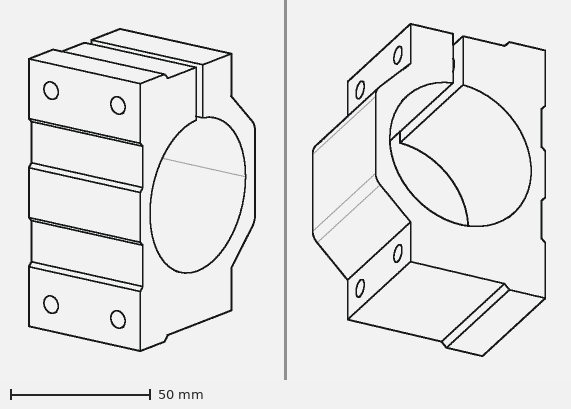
import cadquery as cq
length = 50.0
height = 100.0
depth = 68.0

front_y = -depth / 2
foot_depth = 14.4
foot_step = 2.0
groove_depth = 1.5
groove_floor = 15.4
groove_offset = 18.5

back_y = depth / 2
shoulder_y = 20.0
shoulder_height = 32.0
back_corner_radius = 6.0
bore_diameter = 56.6
slot_width = 4.0
slot_y = 1.0

hole_diameter = 6.4
hole_spacing_x = 30.0
hole_spacing_z = 80.0

half_height = height / 2
body_half_height = half_height - foot_step
foot_y = front_y + foot_depth
back_half_height = shoulder_height - (back_y - shoulder_y)


def make_body():
    """Extrude the YZ outline along X, with rounded corners at the back."""
    upper = [
        (front_y, half_height),
        (foot_y, half_height),
        (foot_y + foot_step, body_half_height),
        (shoulder_y, body_half_height),
        (shoulder_y, shoulder_height),
        (back_y, back_half_height),
    ]
    lower = [(y, -z) for y, z in reversed(upper)]
    body = cq.Workplane("YZ").polyline(upper + lower).close().extrude(length / 2, both=True)
    return body.edges("|X and >Y").fillet(back_corner_radius)


def make_groove(center_z):
    """Trapezoidal groove across the mounting face."""
    half_floor = groove_floor / 2
    half_mouth = half_floor + groove_depth
    floor_y = front_y + groove_depth
    outline = [
        (front_y, center_z - half_mouth),
        (floor_y, center_z - half_floor),
        (floor_y, center_z + half_floor),
        (front_y, center_z + half_mouth),
    ]
    return cq.Workplane("YZ").polyline(outline).close().extrude(length / 2, both=True)


def make_bore():
    return cq.Workplane("YZ").circle(bore_diameter / 2).extrude(length / 2, both=True)


def make_slot():
    """Clamping slot from the bore out through the top."""
    return cq.Workplane("XY").center(0, slot_y).rect(length, slot_width).extrude(half_height)


def make_bolt_holes():
    """Four bolt holes through the full depth."""
    return (
        cq.Workplane("XZ")
        .rect(hole_spacing_x, hole_spacing_z, forConstruction=True)
        .vertices()
        .circle(hole_diameter / 2)
        .extrude(depth, both=True)
    )


result = make_body()
for side in (-1, 1):
    result = result.cut(make_groove(side * groove_offset))
result = result.cut(make_bore()).cut(make_slot()).cut(make_bolt_holes())